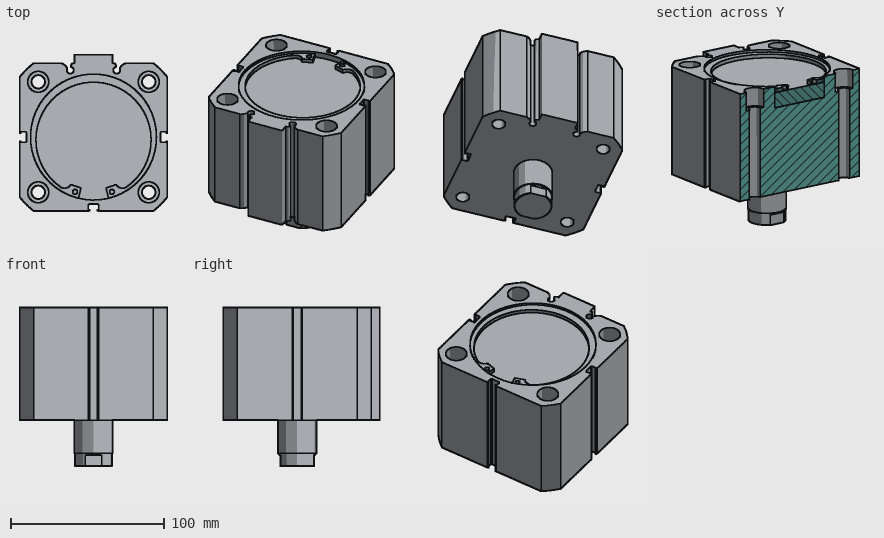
import cadquery as cq
import math


body_width = 96.5
body_height = 73.5
half_width = body_width / 2
corner_radius = 62.1

overall_depth = 102.0
rail_width = 24.8
rail_height = overall_depth - body_width
rail_edge_fillet = 0.4

groove_radius = 2.2
groove_x = 15.1
groove_y = 43.6
nose_top = (12.8, half_width)
nose_tip = (14.8, 46.6)
nose_base = (14.2, 44.8)
shoulder_base = (16.8, 44.3)
shoulder_middle = (18.3, 46.6)
shoulder_top = (21.0, half_width)

slot_width = 6.6
slot_depth = 4.5
slot_mouth_width = 5.2
slot_lip = 0.8
slot_bevel_depth = 0.3

hole_offset = 36.0
hole_diameter = 8.6
counterbore_diameter = 13.7
counterbore_depth = 12.4

recess_radius = 41.1
ring_top_depth = 1.6
ring_thickness = 2.5
cover_thickness = 10.4
ring_bottom = body_height - ring_top_depth - ring_thickness
cover_bottom = ring_bottom - cover_thickness

ring_opening_radius = 37.6
ring_opening_shift = 1.8
gap_half_angle = 13.8
lug_angle = 18.6
lug_inner_radius = 34.0
lug_tail = 4.1
relief_angle = 33.9
relief_floor_radius = 37.8
relief_floor_angle = 28.4
plier_hole_radius = 37.7
plier_hole_diameter = 3.1

overall_height = 103.5
rod_reach = overall_height - body_height
rod_diameter = 25.3
rod_shank_reach = 21.7
rod_end_diameter = 24.4
rod_end_chamfer = 0.3
flat_distance = 21.9
flat_length = 7.0


def slot_cutter():
    """Full-height slot in the +X face with bevelled mouth edges and floor corners."""
    half_slot = slot_width / 2
    half_mouth = slot_mouth_width / 2
    half_outline = [
        (half_width, half_slot),
        (half_width - slot_bevel_depth, half_mouth),
        (half_width - slot_lip, half_mouth),
        (half_width - slot_lip, half_slot),
        (half_width - slot_depth + slot_bevel_depth, half_slot),
        (half_width - slot_depth, half_mouth),
    ]
    mirrored = [(x, -y) for x, y in reversed(half_outline)]
    return cq.Workplane("XY").polyline(half_outline + mirrored).close().extrude(body_height)


def rail_groove_cutter():
    """Round-bottomed groove on the +X side of the rail, opening to the +Y face."""
    throat = (
        cq.Workplane("XY")
        .moveTo(*nose_top)
        .threePointArc(nose_tip, nose_base)
        .lineTo(groove_x, groove_y)
        .lineTo(*shoulder_base)
        .threePointArc(shoulder_middle, shoulder_top)
        .close()
        .extrude(body_height)
    )
    bottom = cq.Workplane("XY").center(groove_x, groove_y).circle(groove_radius).extrude(body_height)
    return throat.union(bottom)


def make_housing():
    block = cq.Workplane("XY").rect(body_width, body_width).extrude(body_height)
    block = block.intersect(cq.Workplane("XY").circle(corner_radius).extrude(body_height))

    rail = (
        cq.Workplane("XY")
        .center(0, half_width)
        .rect(rail_width, 2 * rail_height)
        .extrude(body_height)
        .edges("|Z and >Y")
        .fillet(rail_edge_fillet)
    )
    block = block.union(rail)

    groove = rail_groove_cutter()
    block = block.cut(groove).cut(groove.mirror("YZ"))
    for angle in (0, 180, 270):
        block = block.cut(slot_cutter().rotate((0, 0, 0), (0, 0, 1), angle))

    block = (
        block.faces(">Z")
        .workplane(origin=(0, 0, body_height))
        .rect(2 * hole_offset, 2 * hole_offset, forConstruction=True)
        .vertices()
        .cboreHole(hole_diameter, counterbore_diameter, counterbore_depth)
    )

    recess = cq.Workplane("XY").workplane(offset=cover_bottom).circle(recess_radius)
    rod_passage = cq.Workplane("XY").circle(rod_diameter / 2)
    return block.cut(recess.extrude(body_height)).cut(rod_passage.extrude(body_height))


def make_cover():
    return cq.Workplane("XY").workplane(offset=cover_bottom).circle(recess_radius).extrude(cover_thickness)


def polar_from_gap(radius, degrees):
    """Point at an angle from -Y, positive towards +X."""
    angle = math.radians(degrees)
    return (radius * math.sin(angle), -radius * math.cos(angle))


def make_retaining_ring():
    """Ring with two lugs beside a gap at -Y; the right half's points are mirrored to the left."""
    gap_corner_radius = lug_inner_radius / math.cos(math.radians(lug_angle - gap_half_angle))
    gap_corner = polar_from_gap(gap_corner_radius, gap_half_angle)
    tail_corner = polar_from_gap(
        math.hypot(lug_inner_radius, lug_tail),
        lug_angle + math.degrees(math.atan2(lug_tail, lug_inner_radius)),
    )
    outer_end = polar_from_gap(recess_radius, gap_half_angle)
    relief_x, relief_y = polar_from_gap(ring_opening_radius, relief_angle)
    relief_start = (relief_x, relief_y - ring_opening_shift)
    opening_top = (0, ring_opening_radius - ring_opening_shift)
    relief_middle = polar_from_gap(relief_floor_radius, relief_floor_angle)

    def mirrored(point):
        return (-point[0], point[1])

    outline = (
        cq.Workplane("XY")
        .workplane(offset=ring_bottom)
        .moveTo(*mirrored(outer_end))
        .threePointArc((0, recess_radius), outer_end)
        .lineTo(*gap_corner)
        .lineTo(*tail_corner)
        .threePointArc(relief_middle, relief_start)
        .threePointArc(opening_top, mirrored(relief_start))
        .threePointArc(mirrored(relief_middle), mirrored(tail_corner))
        .lineTo(*mirrored(gap_corner))
        .close()
    )
    ring = outline.extrude(ring_thickness)

    for side in (-1, 1):
        hole_center = polar_from_gap(plier_hole_radius, side * lug_angle)
        hole = cq.Workplane("XY").workplane(offset=ring_bottom).center(*hole_center)
        ring = ring.cut(hole.circle(plier_hole_diameter / 2).extrude(ring_thickness))
    return ring


def make_rod():
    shank = cq.Workplane("XY").workplane(offset=-rod_shank_reach).circle(rod_diameter / 2)
    shank = shank.extrude(rod_shank_reach + cover_bottom)
    end = (
        cq.Workplane("XY")
        .workplane(offset=-rod_reach)
        .circle(rod_end_diameter / 2)
        .extrude(rod_reach - rod_shank_reach)
        .faces("<Z")
        .chamfer(rod_end_chamfer)
    )
    rod = shank.union(end)

    flat_y = flat_distance / 2
    flat_cutter = (
        cq.Workplane("YZ")
        .polyline([
            (flat_y, -rod_reach),
            (flat_y, -rod_reach + flat_length),
            (rod_diameter / 2, -rod_shank_reach),
            (rod_diameter, -rod_shank_reach),
            (rod_diameter, -rod_reach),
        ])
        .close()
        .extrude(rod_diameter, both=True)
    )
    return rod.cut(flat_cutter).cut(flat_cutter.mirror("XZ"))


housing = make_housing()
cover = make_cover()
retaining_ring = make_retaining_ring()
rod = make_rod()

result = cq.Compound.makeCompound([housing.val(), cover.val(), retaining_ring.val(), rod.val()])